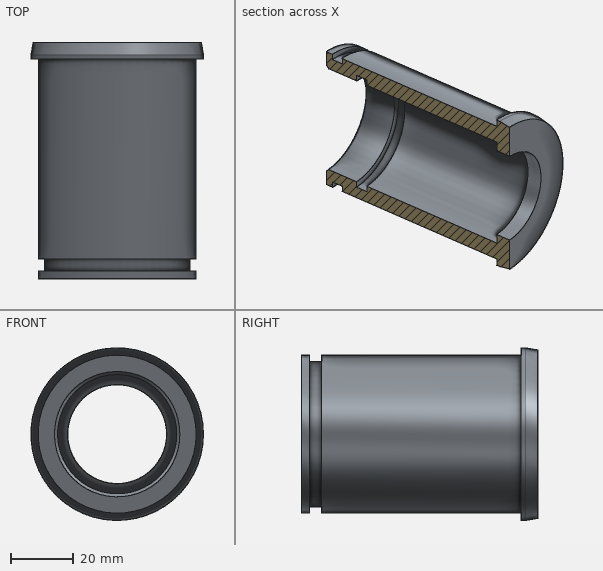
import cadquery as cq

length = 75.85
mouth_y = 0.0

body_radius = 25.3
flange_radius = 27.7
flange_end_radius = 27.0
flange_thickness = 5.4
flange_rim_width = 1.4

ring_groove_radius = 23.35
ring_groove_start = 2.6
ring_groove_end = 6.45

bore_radius = 19.1
mouth_radius = 20.1
mouth_chamfer_length = 0.8
lip_radius = 15.85
lip_thickness = flange_thickness

inner_groove_radius = 21.2
inner_groove_start = 12.5
inner_groove_end = 16.8

flange_start = length - flange_thickness
flange_taper_start = flange_start + flange_rim_width
lip_start = length - lip_thickness

outer_profile = [
    (body_radius, mouth_y),
    (body_radius, ring_groove_start),
    (ring_groove_radius, ring_groove_start),
    (ring_groove_radius, ring_groove_end),
    (body_radius, ring_groove_end),
    (body_radius, flange_start),
    (flange_radius, flange_start),
    (flange_radius, flange_taper_start),
    (flange_end_radius, length),
]
inner_profile = [
    (lip_radius, length),
    (lip_radius, lip_start),
    (bore_radius, lip_start),
    (bore_radius, inner_groove_end),
    (inner_groove_radius, inner_groove_end),
    (inner_groove_radius, inner_groove_start),
    (bore_radius, inner_groove_start),
    (bore_radius, mouth_chamfer_length),
    (mouth_radius, mouth_y),
]

section = cq.Workplane("XY").polyline(outer_profile + inner_profile).close()
result = section.revolve(360, (0, 0, 0), (0, 1, 0))